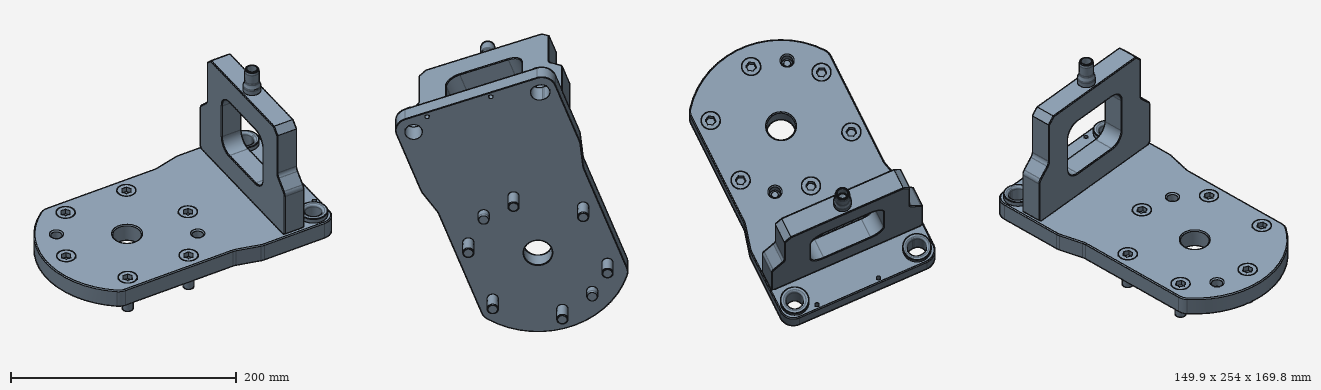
import cadquery as cq
import math

INCH = 25.4
SELECT_MARGIN = 0.1

PLATE_T = 0.70 * INCH
TOP_EDGE = 0.04 * INCH
BOTTOM_EDGE = 0.02 * INCH
REAR_Y = 6.75 * INCH
REAR_HALF_W = 2.95 * INCH
FRONT_HALF_W = 2.70 * INCH
NOSE_R = 3.25 * INCH
TAPER_REAR_Y = 3.75 * INCH
TAPER_FRONT_Y = 2.75 * INCH
OUTLINE_FILLET = 0.5 * INCH
BORE_R = 0.5 * INCH

UPRIGHT_Y = 5.05 * INCH
UPRIGHT_T = 0.80 * INCH
UPRIGHT_H = 4.35 * INCH
UPRIGHT_HALF_W = 2.91 * INCH
SHOULDER_STEP = 0.5 * INCH
SHOULDER_LOW_Z = 1.85 * INCH
SHOULDER_FILLET = 0.25 * INCH
UPRIGHT_TOP_CHAMFER = 0.25 * INCH
UPRIGHT_FOOT_CHAMFER = 0.1 * INCH
UPRIGHT_EDGE = 0.03 * INCH
WINDOW_W = 2.80 * INCH
WINDOW_MARGIN = 1.0 * INCH
WINDOW_R = 0.5 * INCH

PIN_H = 23.9
PIN_BASE_R = 7.95
PIN_BASE_H = 4.6
PIN_RIM_R = 7.8
PIN_RIM_H = 6.1
PIN_NECK_R = 6.6
PIN_NECK_H = 10.0
PIN_BODY_R = 6.5
PIN_BODY_H = 11.5
PIN_LEAD_H = 21.0
NECK_FLARE = (-0.5, 1)
STRAIGHT_UP = (0, 1)
PIN_LIP_R = 6.0
PIN_LIP_H = 23.2
PIN_TIP_R = 5.3
PIN_COUNTERBORE_R = 4.6
PIN_COUNTERBORE_DEPTH = 10.0
PIN_DRILL_R = 3.6
DRILL_HALF_ANGLE = math.radians(59)

BUSHING_INSET = 0.6 * INCH
BUSHING_R = 0.5 * INCH
BUSHING_H = 4.6
BUSHING_EDGE = 0.5
BUSHING_BORE_R = 7.7
BUSHING_FLARE = 2.2
SLOT_TRAVEL = 1.8

REAR_HOLE_D = 3.8
REAR_HOLE_INSET = 4.5
REAR_HOLE_XS = (-17.1, 43.0)

BOLT_CIRCLE_R = 62.5
SCREW_R = 5.0
SCREW_REACH = 17.59
SCREW_END_CHAMFER = 0.8
HEAD_R = 8.2
HEAD_H = 10.0
COUNTERBORE_R = 8.6
SOCKET_FLATS = 8.0
SOCKET_DEPTH = 5.0
HEX_SIDES = 6
SCREW_ANGLES = (30, 90, 150, 210, 270, 330)
DOWEL_ANGLES = (60, 240)
DOWEL_R = 5.0
DOWEL_REACH = 9.3
DOWEL_LENGTH = 20.0
DOWEL_NOSE_R = 3.0
DOWEL_NOSE_H = 2.0
DOWEL_END_R = 4.4
DOWEL_END_H = 2.2
DOWEL_HOLE_EDGE = 1.3


def revolved(profile):
    """Solid of revolution about Z from (radius, height) points."""
    return cq.Workplane("XZ").polyline(profile).close().revolve(360, (0, 0, 0), (0, 1, 0))


def on_bolt_circle(angle):
    a = math.radians(angle)
    return BOLT_CIRCLE_R * math.cos(a), BOLT_CIRCLE_R * math.sin(a)


def base_plate():
    nose_y = -math.sqrt(NOSE_R**2 - FRONT_HALF_W**2)
    plate = (
        cq.Workplane("XY")
        .moveTo(-FRONT_HALF_W, nose_y)
        .threePointArc((0, -NOSE_R), (FRONT_HALF_W, nose_y))
        .lineTo(FRONT_HALF_W, TAPER_FRONT_Y)
        .lineTo(REAR_HALF_W, TAPER_REAR_Y)
        .lineTo(REAR_HALF_W, REAR_Y)
        .lineTo(-REAR_HALF_W, REAR_Y)
        .lineTo(-REAR_HALF_W, TAPER_REAR_Y)
        .lineTo(-FRONT_HALF_W, TAPER_FRONT_Y)
        .close()
        .extrude(PLATE_T)
        .edges("|Z").fillet(OUTLINE_FILLET)
    )
    plate = plate.cut(cq.Workplane("XY").circle(BORE_R).extrude(PLATE_T))
    plate = plate.faces(">Z").edges().chamfer(TOP_EDGE)
    return plate.faces("<Z").edges().chamfer(BOTTOM_EDGE)


def upright():
    top_half_w = UPRIGHT_HALF_W - SHOULDER_STEP
    shoulder_top = SHOULDER_LOW_Z + SHOULDER_STEP
    right_side = [
        (UPRIGHT_HALF_W - UPRIGHT_FOOT_CHAMFER, 0),
        (UPRIGHT_HALF_W, UPRIGHT_FOOT_CHAMFER),
        (UPRIGHT_HALF_W, SHOULDER_LOW_Z),
        (top_half_w, shoulder_top),
        (top_half_w, UPRIGHT_H - UPRIGHT_TOP_CHAMFER),
        (top_half_w - UPRIGHT_TOP_CHAMFER, UPRIGHT_H),
    ]
    left_side = [(-x, z) for x, z in reversed(right_side)]
    body = (
        cq.Workplane("XZ")
        .polyline(right_side + left_side).close()
        .extrude(UPRIGHT_T / 2, both=True)
    )
    shoulder_zone = cq.selectors.BoxSelector(
        (-REAR_HALF_W, -UPRIGHT_T, SHOULDER_LOW_Z - SELECT_MARGIN),
        (REAR_HALF_W, UPRIGHT_T, shoulder_top + SELECT_MARGIN),
    )
    body = body.edges("|Y").edges(shoulder_zone).fillet(SHOULDER_FILLET)
    window = (
        cq.Workplane("XY")
        .box(WINDOW_W, 2 * UPRIGHT_T, UPRIGHT_H - 2 * WINDOW_MARGIN)
        .edges("|Y").fillet(WINDOW_R)
        .translate((0, 0, UPRIGHT_H / 2))
    )
    body = body.cut(window).faces("<Y or >Y").edges().chamfer(UPRIGHT_EDGE)
    return body.translate((0, UPRIGHT_Y, PLATE_T))


def locating_pin():
    counterbore_floor = PIN_H - PIN_COUNTERBORE_DEPTH
    drill_point = counterbore_floor - PIN_DRILL_R / math.tan(DRILL_HALF_ANGLE)
    pin = (
        cq.Workplane("XZ")
        .lineTo(PIN_BASE_R, 0)
        .lineTo(PIN_BASE_R, PIN_BASE_H)
        .lineTo(PIN_RIM_R, PIN_RIM_H)
        .spline([(PIN_NECK_R, PIN_NECK_H)], tangents=[NECK_FLARE, STRAIGHT_UP], includeCurrent=True)
        .lineTo(PIN_BODY_R, PIN_BODY_H)
        .lineTo(PIN_BODY_R, PIN_LEAD_H)
        .lineTo(PIN_LIP_R, PIN_LIP_H)
        .lineTo(PIN_TIP_R, PIN_H)
        .lineTo(PIN_COUNTERBORE_R, PIN_H)
        .lineTo(PIN_COUNTERBORE_R, counterbore_floor)
        .lineTo(PIN_DRILL_R, counterbore_floor)
        .lineTo(0, drill_point)
        .close()
        .revolve(360, (0, 0, 0), (0, 1, 0))
    )
    return pin.translate((0, UPRIGHT_Y, PLATE_T + UPRIGHT_H))


def bushing_collar():
    collar = cq.Workplane("XY").circle(BUSHING_R).extrude(BUSHING_H)
    collar = collar.faces(">Z").edges().chamfer(BUSHING_EDGE)
    return collar.translate((0, 0, PLATE_T))


def add_bushing(body, x, travel):
    """Collar and flared through bore; the bore is lengthened along X by `travel`."""
    y = REAR_Y - BUSHING_INSET
    body = body.union(bushing_collar().translate((x, y, 0)))
    bore = cq.Workplane("XY").center(x, y)
    if travel:
        bore = bore.slot2D(2 * BUSHING_BORE_R + travel, 2 * BUSHING_BORE_R)
    else:
        bore = bore.circle(BUSHING_BORE_R)
    body = body.cut(bore.extrude(PLATE_T + BUSHING_H))
    lip_z = PLATE_T + BUSHING_H
    lip_half_x = BUSHING_BORE_R + travel / 2 + SELECT_MARGIN
    lip_half_y = BUSHING_BORE_R + SELECT_MARGIN
    lip = cq.selectors.BoxSelector(
        (x - lip_half_x, y - lip_half_y, lip_z - SELECT_MARGIN),
        (x + lip_half_x, y + lip_half_y, lip_z + SELECT_MARGIN),
        boundingbox=True,
    )
    return body.edges(lip).fillet(BUSHING_FLARE)


def socket_screw():
    screw = revolved([
        (0, -SCREW_REACH),
        (SCREW_R - SCREW_END_CHAMFER, -SCREW_REACH),
        (SCREW_R, -SCREW_REACH + SCREW_END_CHAMFER),
        (SCREW_R, PLATE_T - HEAD_H),
        (HEAD_R, PLATE_T - HEAD_H),
        (HEAD_R, PLATE_T),
        (0, PLATE_T),
    ])
    socket = (
        cq.Workplane("XY", origin=(0, 0, PLATE_T - SOCKET_DEPTH))
        .polygon(HEX_SIDES, SOCKET_FLATS / math.cos(math.pi / HEX_SIDES))
        .extrude(SOCKET_DEPTH)
        .rotate((0, 0, 0), (0, 0, 1), 180 / HEX_SIDES)
    )
    return screw.cut(socket)


def dowel():
    end_z = -DOWEL_REACH
    top_z = end_z + DOWEL_LENGTH
    return revolved([
        (0, end_z),
        (DOWEL_END_R, end_z),
        (DOWEL_R, end_z + DOWEL_END_H),
        (DOWEL_R, top_z - DOWEL_NOSE_H),
        (DOWEL_NOSE_R, top_z),
        (0, top_z),
    ])


def dowel_hole():
    return revolved([
        (0, 0),
        (DOWEL_R, 0),
        (DOWEL_R, PLATE_T - DOWEL_HOLE_EDGE),
        (DOWEL_R + DOWEL_HOLE_EDGE, PLATE_T),
        (0, PLATE_T),
    ])


def add_flange_hardware(body):
    counterbore = (
        cq.Workplane("XY", origin=(0, 0, PLATE_T - HEAD_H))
        .circle(COUNTERBORE_R)
        .extrude(HEAD_H)
    )
    for angle in SCREW_ANGLES:
        x, y = on_bolt_circle(angle)
        body = body.cut(counterbore.translate((x, y, 0)))
        body = body.union(socket_screw().translate((x, y, 0)))
    for angle in DOWEL_ANGLES:
        x, y = on_bolt_circle(angle)
        body = body.cut(dowel_hole().translate((x, y, 0)))
        body = body.union(dowel().translate((x, y, 0)))
    return body


def drill_rear_holes(body):
    holes = (
        cq.Workplane("XY")
        .pushPoints([(x, REAR_Y - REAR_HOLE_INSET) for x in REAR_HOLE_XS])
        .circle(REAR_HOLE_D / 2)
        .extrude(PLATE_T)
    )
    return body.cut(holes)


bushing_x = REAR_HALF_W - BUSHING_INSET
result = base_plate().union(upright()).union(locating_pin())
result = add_bushing(result, -bushing_x, SLOT_TRAVEL)
result = add_bushing(result, bushing_x, 0)
result = drill_rear_holes(result)
result = add_flange_hardware(result)